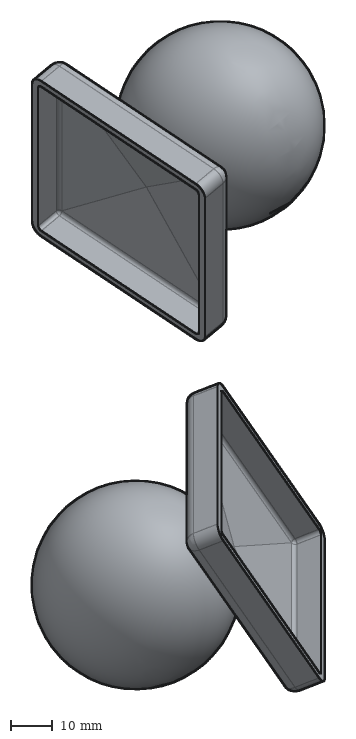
import cadquery as cq
import math

cap_side = 55.5
overall_length = 61.5
ball_diameter = 50.0
wall = 2.0
edge_radius = 3.0
apex_height = 12.0
roof_rise = 2.8

inner_side = cap_side - 2 * wall
inner_radius = edge_radius - wall
eaves_height = apex_height - roof_rise

roof_angle = math.atan2(roof_rise, cap_side / 2)
inner_rise = inner_side / 2 * math.tan(roof_angle)
inner_eaves_height = apex_height - wall / math.cos(roof_angle) - inner_rise

rim_tolerance = 0.001

ball_radius = ball_diameter / 2
ball_center_y = overall_length - ball_radius


def pyramid(side, base_y, rise):
    """Square pyramid with its base at base_y and its apex towards +Y."""
    half = side / 2
    apex = cq.Vector(0, base_y + rise, 0)
    corners = [
        cq.Vector(-half, base_y, -half),
        cq.Vector(half, base_y, -half),
        cq.Vector(half, base_y, half),
        cq.Vector(-half, base_y, half),
    ]
    faces = [cq.Face.makeFromWires(cq.Wire.makePolygon(corners, close=True))]
    for i, corner in enumerate(corners):
        next_corner = corners[(i + 1) % len(corners)]
        side_wire = cq.Wire.makePolygon([corner, next_corner, apex], close=True)
        faces.append(cq.Face.makeFromWires(side_wire))
    return cq.Workplane(cq.Solid.makeSolid(cq.Shell.makeShell(faces)))


def domed_block(side, eaves_height, rise, radius):
    """Square block from Y = 0 under a pyramid roof, with rounded corners and eaves."""
    block = cq.Workplane("XY").box(side, eaves_height, side, centered=(True, False, True))
    roof = pyramid(side, eaves_height, rise)
    straight_edges = block.union(roof).edges("|X or |Y or |Z")
    rounded_edges = straight_edges.filter(lambda edge: edge.Center().y > rim_tolerance)
    return rounded_edges.fillet(radius)


def ball():
    """Ball sunk slightly into the apex of the roof, with its poles along Z."""
    return cq.Workplane("XY").sphere(ball_radius).translate((0, ball_center_y, 0))


outer = domed_block(cap_side, eaves_height, roof_rise, edge_radius)
cavity = domed_block(inner_side, inner_eaves_height, inner_rise, inner_radius)

result = outer.union(ball()).cut(cavity)